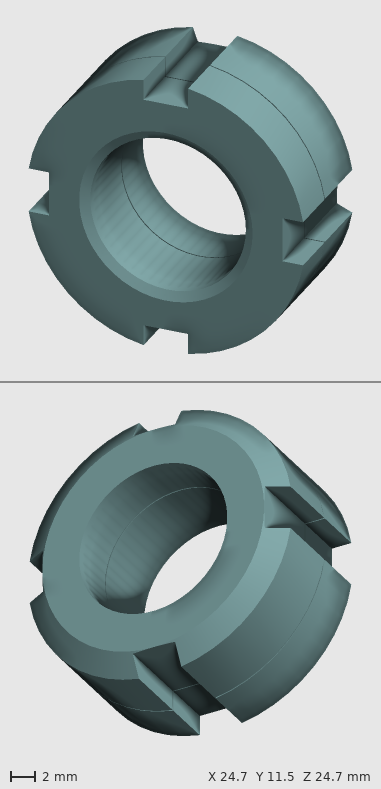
import cadquery as cq
import math


span = 24.68
length = 11.5
slot_width = 4.0
slot_floor = 10.5
slot_count = 4
bore_diameter = 14.0
countersink_diameter = 15.6
front_length = 4.5
spigot_radius = 9.5
spigot_length = 2.5
gap = 0.12
bevel_angle = 30.0

outer_radius = math.hypot(span / 2, slot_width / 2)
bore_radius = bore_diameter / 2
countersink_radius = countersink_diameter / 2
bevel_slope = math.tan(math.radians(bevel_angle))
countersink_depth = (countersink_radius - bore_radius) * bevel_slope
bevel_width = outer_radius - slot_floor
bevel_depth = bevel_width * bevel_slope
spigot_end = front_length + spigot_length
rear_start = front_length + gap
counterbore_floor = spigot_end + gap


def revolve_profile(points):
    """Revolve a closed (radius, y) outline around the Y axis."""
    return cq.Workplane("XY").polyline(points).close().revolve(360, (0, 0, 0), (0, 1, 0))


def cut_slots(ring):
    """Cut the wrench slots through the full length of a ring."""
    for index in range(slot_count):
        slot = (
            cq.Workplane("XY")
            .box(outer_radius, length, slot_width, centered=(False, False, True))
            .translate((slot_floor, 0, 0))
            .rotate((0, 0, 0), (0, 1, 0), index * 360 / slot_count)
        )
        ring = ring.cut(slot)
    return ring


def make_front_ring():
    """Ring with a countersunk bore at its front face and a spigot at its rear."""
    blank = revolve_profile([
        (countersink_radius, 0),
        (outer_radius, 0),
        (outer_radius, front_length),
        (spigot_radius, front_length),
        (spigot_radius, spigot_end),
        (bore_radius, spigot_end),
        (bore_radius, countersink_depth),
    ])
    return cut_slots(blank)


def make_rear_ring():
    """Ring with a bevelled rear edge and a counterbore around the spigot."""
    blank = revolve_profile([
        (bore_radius, counterbore_floor),
        (spigot_radius, counterbore_floor),
        (spigot_radius, rear_start),
        (outer_radius, rear_start),
        (outer_radius, length - bevel_depth),
        (outer_radius - bevel_width, length),
        (bore_radius, length),
    ])
    return cut_slots(blank)


front_ring = make_front_ring()
rear_ring = make_rear_ring()

result = cq.Compound.makeCompound([front_ring.val(), rear_ring.val()])